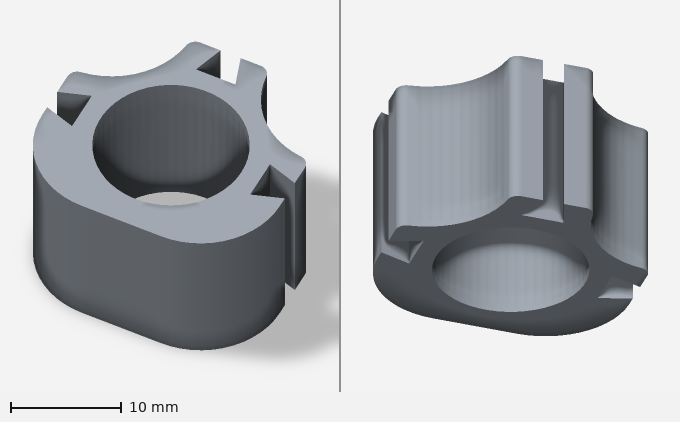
import cadquery as cq

width = 24.0
height = 15.0
depth = 22.0
bore_diameter = 14.2
corner_radius = 8.0
tip_radius = 1.0
slot_depth = 3.0
slot_mouth_width = 2.02
slot_floor_width = 3.98

half_width = width / 2
back_y = half_width
front_y = back_y - depth


def make_body():
    """Block with two rounded front corners and two scooped back corners."""
    block = cq.Workplane("XY").box(width, depth, height, centered=(True, False, False))
    block = block.translate((0, front_y, 0))
    block = block.edges("|Z and <Y").fillet(corner_radius)

    scoops = (
        cq.Workplane("XY")
        .pushPoints([(-half_width, back_y), (half_width, back_y)])
        .circle(corner_radius)
        .extrude(height)
    )
    return block.cut(scoops)


def round_tips(body):
    """Round the four sharp edges where the scoops meet the outer sides."""
    scoop_end = half_width - corner_radius
    tips = []
    for side in (-1, 1):
        tips.append((side * scoop_end, back_y, height / 2))
        tips.append((side * half_width, scoop_end, height / 2))
    for tip in tips:
        body = body.edges(cq.selectors.NearestToPointSelector(tip)).fillet(tip_radius)
    return body


def make_slot(angle):
    """Dovetail slot, open on the +X side, turned about the bore axis."""
    floor_x = half_width - slot_depth
    slot = (
        cq.Workplane("XY")
        .moveTo(half_width, -slot_mouth_width / 2)
        .lineTo(half_width, slot_mouth_width / 2)
        .lineTo(floor_x, slot_floor_width / 2)
        .lineTo(floor_x, -slot_floor_width / 2)
        .close()
        .extrude(height)
    )
    return slot.rotate((0, 0, 0), (0, 0, 1), angle)


bore = cq.Workplane("XY").circle(bore_diameter / 2).extrude(height)
result = round_tips(make_body()).cut(bore)
for slot_angle in (0, 90, 180):
    result = result.cut(make_slot(slot_angle))